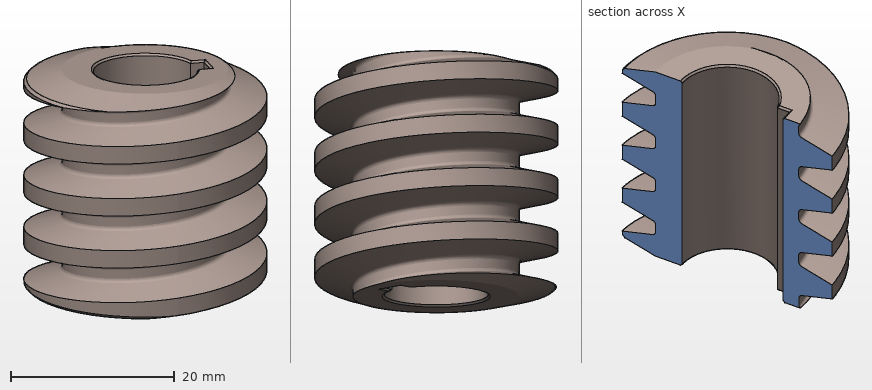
import cadquery as cq
import math

INCH = 25.4

PITCH = math.pi * INCH / 12
OUTER_RADIUS = 14.86
ROOT_RADIUS = 10.16
LENGTH = 1.125 * INCH
FLANK_ANGLE = math.radians(15)
CREST_WIDTH = 2.23
ROOT_FILLET = 0.5

END_CHAMFER = 0.35

BORE_DIAMETER = INCH / 2
KEY_WIDTH = INCH / 8
KEY_TOP = 7.87
BORE_CHAMFER = 0.25

GROOVE_TURNS = 5
GROOVE_START_ANGLE = -90
RADIAL_OVERCUT = 0.6


def make_blank():
    """Solid of revolution that holds the crest and the two coned ends."""
    half_length = LENGTH / 2
    cone_radius = OUTER_RADIUS - END_CHAMFER
    cone_z = half_length - (cone_radius - ROOT_RADIUS) * math.tan(FLANK_ANGLE)
    crest_z = cone_z - END_CHAMFER
    outline = [
        (0, -half_length),
        (ROOT_RADIUS, -half_length),
        (cone_radius, -cone_z),
        (OUTER_RADIUS, -crest_z),
        (OUTER_RADIUS, crest_z),
        (cone_radius, cone_z),
        (ROOT_RADIUS, half_length),
        (0, half_length),
    ]
    return cq.Workplane("XZ").polyline(outline).close().revolve(360, (0, 0), (0, 1))


def make_groove_turn():
    """One turn of the helical groove, with straight flanks and filleted root corners."""
    slope = math.tan(FLANK_ANGLE)
    outside = OUTER_RADIUS + RADIAL_OVERCUT
    half_at_crest = (PITCH - CREST_WIDTH) / 2
    half_outside = half_at_crest + RADIAL_OVERCUT * slope
    half_at_root = half_at_crest - (OUTER_RADIUS - ROOT_RADIUS) * slope

    half_arc = (math.pi / 2 - FLANK_ANGLE) / 2
    tangent_length = ROOT_FILLET * math.tan(half_arc)
    half_floor = half_at_root - tangent_length
    flank_radius = ROOT_RADIUS + tangent_length * math.cos(FLANK_ANGLE)
    flank_half = half_at_root + tangent_length * math.sin(FLANK_ANGLE)
    middle_radius = ROOT_RADIUS + ROOT_FILLET * (1 - math.cos(half_arc))
    middle_half = half_floor + ROOT_FILLET * math.sin(half_arc)

    helix = cq.Wire.makeHelix(PITCH, PITCH, ROOT_RADIUS)
    profile = (
        cq.Workplane("XZ")
        .moveTo(outside, -half_outside)
        .lineTo(flank_radius, -flank_half)
        .threePointArc((middle_radius, -middle_half), (ROOT_RADIUS, -half_floor))
        .lineTo(ROOT_RADIUS, half_floor)
        .threePointArc((middle_radius, middle_half), (flank_radius, flank_half))
        .lineTo(outside, half_outside)
        .close()
    )
    groove = profile.sweep(cq.Workplane(obj=helix), isFrenet=True)
    return groove.rotate((0, 0, 0), (0, 0, 1), GROOVE_START_ANGLE)


def cut_thread(blank):
    """Cut the groove one turn at a time; a crest is centred on z = 0 at the start angle."""
    worm = blank
    turn = make_groove_turn()
    for index in range(GROOVE_TURNS):
        worm = worm.cut(turn.translate((0, 0, (index - GROOVE_TURNS / 2) * PITCH)))
    return worm


def make_bore():
    """Keyed through bore, flared by a chamfer at both ends."""
    flare_angle = 45
    half_length = LENGTH / 2
    radius = BORE_DIAMETER / 2
    bore = cq.Workplane("XY").circle(radius).extrude(half_length, both=True)
    keyway = (
        cq.Workplane("XY")
        .center(0, KEY_TOP / 2)
        .rect(KEY_WIDTH, KEY_TOP)
        .extrude(half_length, both=True)
    )
    flare = (
        cq.Workplane("XY", origin=(0, 0, half_length))
        .circle(radius + BORE_CHAMFER)
        .extrude(-BORE_CHAMFER, taper=flare_angle)
    )
    key_flare = (
        cq.Workplane("XY", origin=(0, 0, half_length))
        .center(0, KEY_TOP / 2)
        .rect(KEY_WIDTH + 2 * BORE_CHAMFER, KEY_TOP + 2 * BORE_CHAMFER)
        .extrude(-BORE_CHAMFER, taper=flare_angle)
    )
    cutter = bore.union(keyway)
    for end_flare in (flare, key_flare):
        cutter = cutter.union(end_flare).union(end_flare.mirror("XY"))
    return cutter


result = cut_thread(make_blank()).cut(make_bore())